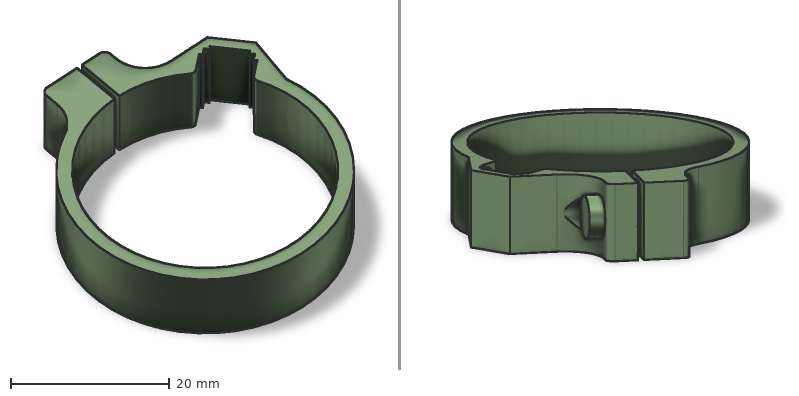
import cadquery as cq
import math

height = 10.0
bore_radius = 16.8
wall = 2.0
outer_radius = bore_radius + wall

lug_left = -23.95
lug_top = 4.35
lug_bottom = -6.45
corner_radius = 1.0
blend_radius = 5.0
slit_width = 0.8

housing_angle = 130.0
housing_distance = 22.75
housing_half_width = 3.1
flank_angle = 50.0
flank_length = 8.55

pocket_steps = [(2.55, 21.25), (3.25, 20.8), (3.7, 19.75)]
lip_radius = 0.75

screw_x = -19.95
shank_diameter = 3.0
head_diameter = 5.5
head_height = 2.0
counterbore_diameter = 5.8


def housing_plane():
    """Local X runs outward along the housing axis, local Y across it."""
    return cq.Plane.XY().rotated((0, 0, housing_angle))


def make_housing():
    flank = math.radians(flank_angle)
    root_distance = housing_distance - flank_length * math.sin(flank)
    root_half_width = housing_half_width + flank_length * math.cos(flank)
    outline = [
        (root_distance, -root_half_width),
        (housing_distance, -housing_half_width),
        (housing_distance, housing_half_width),
        (root_distance, root_half_width),
    ]
    return cq.Workplane(housing_plane()).polyline(outline).close().extrude(height)


def make_lug():
    """Lug blended into the vertical housing flank above and the ring below."""
    axis = math.radians(housing_angle)
    flank_x = housing_distance * math.cos(axis) - housing_half_width * math.sin(axis)
    flank_top = housing_distance * math.sin(axis) + housing_half_width * math.cos(axis)
    diagonal = math.sqrt(0.5)
    upper_x = flank_x - blend_radius
    upper_y = lug_top + blend_radius
    upper_mid = (upper_x + blend_radius * diagonal, upper_y - blend_radius * diagonal)

    lower_y = lug_bottom - blend_radius
    centre_distance = outer_radius + blend_radius
    lower_x = -math.sqrt(centre_distance**2 - lower_y**2)
    touch = (lower_x * outer_radius / centre_distance, lower_y * outer_radius / centre_distance)
    end_angle = math.atan2(-lower_y, -lower_x)
    mid_angle = (end_angle + math.pi / 2) / 2
    lower_mid = (
        lower_x + blend_radius * math.cos(mid_angle),
        lower_y + blend_radius * math.sin(mid_angle),
    )

    lug = (
        cq.Workplane("XY")
        .moveTo(lug_left, lug_bottom)
        .lineTo(lug_left, lug_top)
        .lineTo(upper_x, lug_top)
        .threePointArc(upper_mid, (flank_x, upper_y))
        .lineTo(flank_x, flank_top)
        .lineTo(0, 0)
        .lineTo(*touch)
        .threePointArc(lower_mid, (lower_x, lug_bottom))
        .close()
        .extrude(height)
    )
    return lug.edges("|Z and <X").fillet(corner_radius)


def make_opening():
    """Round bore joined with the stepped pocket."""
    opening = cq.Workplane("XY").circle(bore_radius).extrude(height)
    for half_width, end in pocket_steps:
        step = cq.Workplane(housing_plane()).center(end / 2, 0).rect(end, 2 * half_width).extrude(height)
        opening = opening.union(step)

    lip_half_width = pocket_steps[-1][0]
    lip_distance = math.sqrt(bore_radius**2 - lip_half_width**2)
    for side in (-1, 1):
        lip = housing_plane().toWorldCoords((lip_distance, side * lip_half_width, height / 2))
        opening = opening.edges(cq.selectors.NearestToPointSelector(lip.toTuple())).fillet(lip_radius)
    return opening


def y_cylinder(diameter, start_y, end_y):
    plane = cq.Plane(origin=(screw_x, start_y, height / 2), xDir=(1, 0, 0), normal=(0, 1, 0))
    return cq.Workplane(plane).circle(diameter / 2).extrude(end_y - start_y)


def make_slit():
    slit = cq.Workplane("XY").center(lug_left / 2, 0)
    return slit.rect(-lug_left, slit_width).extrude(height)


def make_screw():
    shank = y_cylinder(shank_diameter, lug_bottom / 2, lug_top)
    head = y_cylinder(head_diameter, lug_top, lug_top + head_height)
    return shank.union(head)


ring = cq.Workplane("XY").circle(outer_radius).extrude(height)
body = ring.union(make_housing()).union(make_lug())
body = body.cut(make_opening()).cut(make_slit())

clearance_top = lug_top + blend_radius
body = body.cut(y_cylinder(counterbore_diameter, lug_top, clearance_top))

result = body.union(make_screw())